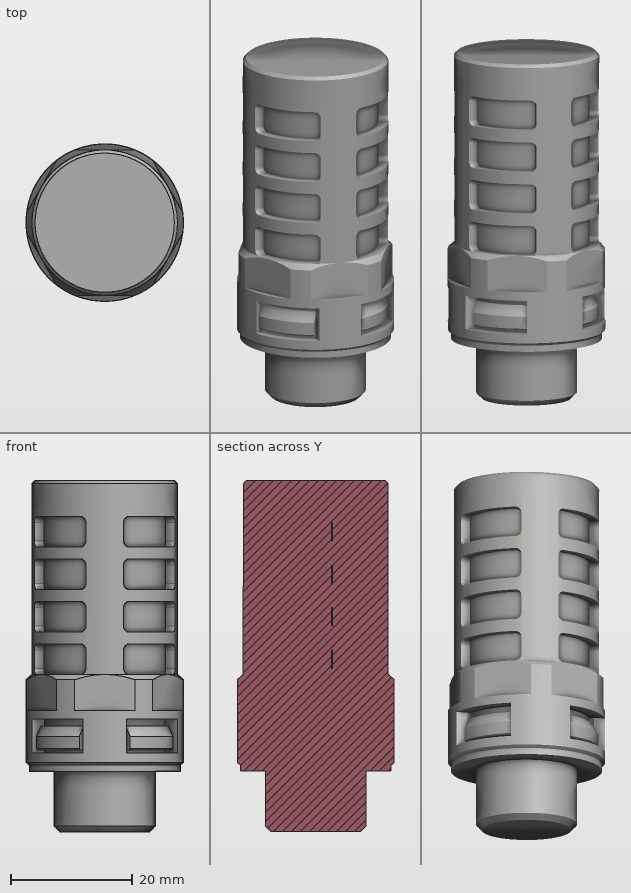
import cadquery as cq
import math

total_height = 58.0
collar_bottom = 10.0
lip_top = 11.0
collar_edge = 11.5
flats_bottom = 20.0
collar_top = 26.0
collar_cone_height = 0.85

stem_radius = 8.35
stem_chamfer = 1.0
core_radius = 10.4
lip_radius = 12.45
collar_radius = 13.0
sleeve_radius = 12.0
sleeve_chamfer = 0.5

flat_count = 6

diagonal_angle = 45.0

slot_columns = 4
slot_rows = 4
slot_angle = 60.0
slot_height = 5.0
slot_pitch = 7.0
slot_corner_radius = 1.0

window_bottom = 13.0
window_top = 18.6
window_side_x = 3.6
tab_half_width = 5.0
tab_bottom = 13.5
tab_cone_bottom = 15.8
tab_top = 17.5
tab_top_radius = 11.0
tab_bottom_chamfer = 0.25

clear_radius = collar_radius + 5.8


def revolve_profile(points, angle=360.0):
    """Revolve an outline of (radius, height) points about the vertical axis."""
    return cq.Workplane("XZ").polyline(points).close().revolve(angle, (0, 0, 0), (0, 1, 0))


def turned_body():
    return revolve_profile([
        (0, 0),
        (stem_radius - stem_chamfer, 0),
        (stem_radius, stem_chamfer),
        (stem_radius, collar_bottom),
        (lip_radius, collar_bottom),
        (lip_radius, lip_top),
        (collar_radius, collar_edge),
        (collar_radius, collar_top - collar_cone_height),
        (sleeve_radius, collar_top),
        (sleeve_radius, total_height - sleeve_chamfer),
        (sleeve_radius - sleeve_chamfer, total_height),
        (0, total_height),
    ])


def wrench_flats():
    """Material outside a hexagonal prism, over the height of the flats."""
    height = collar_top - flats_bottom
    hexagon_diameter = 2 * sleeve_radius / math.cos(math.pi / flat_count)
    plane = cq.Workplane("XY").workplane(offset=flats_bottom)
    hexagon = plane.polygon(flat_count, hexagon_diameter).extrude(height)
    return plane.circle(clear_radius).extrude(height).cut(hexagon)


def vent_slot(bottom):
    """Ring sector with radial side walls and rounded corners, centred on the +X axis."""
    top = bottom + slot_height
    sector = revolve_profile([
        (core_radius, bottom),
        (clear_radius, bottom),
        (clear_radius, top),
        (core_radius, top),
    ], slot_angle)
    sector = sector.edges("%LINE and (not |Z)").fillet(slot_corner_radius)
    return sector.rotate((0, 0, 0), (0, 0, 1), -slot_angle / 2)


def locking_tab():
    """Tapered ring segment of constant width, lying along the diagonal."""
    ring = revolve_profile([
        (0, tab_bottom),
        (sleeve_radius - tab_bottom_chamfer, tab_bottom),
        (sleeve_radius, tab_bottom + tab_bottom_chamfer),
        (sleeve_radius, tab_cone_bottom),
        (tab_top_radius, tab_top),
        (0, tab_top),
    ])
    strip = cq.Workplane("XY").box(2 * clear_radius, 2 * tab_half_width, 2 * total_height)
    return ring.intersect(strip.rotate((0, 0, 0), (0, 0, 1), diagonal_angle))


def collar_window():
    """Window in the +X +Y quadrant.

    One side wall is flush with the tab; the other is a wall of constant X.
    """
    height = window_top - window_bottom
    tab_offset = tab_half_width * math.sin(math.radians(diagonal_angle))
    plane = cq.Workplane("XY").workplane(offset=window_bottom)
    opening = plane.polyline([
        (tab_offset, -tab_offset),
        (clear_radius, clear_radius - 2 * tab_offset),
        (clear_radius, clear_radius),
        (window_side_x, clear_radius),
        (window_side_x, window_side_x + 2 * tab_offset),
        (-tab_offset, tab_offset),
    ]).close().extrude(height)
    core = plane.circle(core_radius).extrude(height)
    return opening.cut(core).cut(locking_tab())


result = turned_body().cut(wrench_flats())

for row in range(slot_rows):
    slot = vent_slot(collar_top + row * slot_pitch)
    for column in range(slot_columns):
        slot_direction = diagonal_angle + column * 360 / slot_columns
        result = result.cut(slot.rotate((0, 0, 0), (0, 0, 1), slot_direction))

front_and_back = collar_window()
front_and_back = front_and_back.union(front_and_back.mirror("XZ"))
windows = front_and_back.union(front_and_back.mirror("YZ"))
result = result.cut(windows)